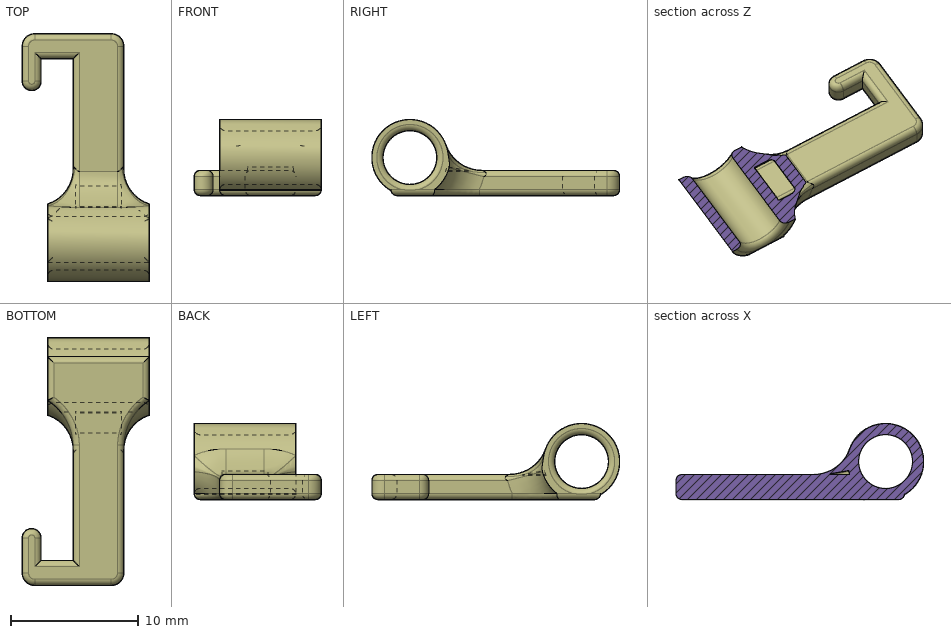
import cadquery as cq
import math

sleeve_length = 8.0
sleeve_radius = 3.0
bore_diameter = 4.2
bore_mouth_radius = 0.5
foot_width = 3.0

arm_width = 4.0
arm_thickness = 2.0
arm_end_y = 16.48
edge_radius = 0.5
outer_corner_radius = 1.0
flare_radius = 3.0

hook_reach = 4.0
hook_width = 1.5
hook_bar_width = 1.98
hook_tip_y = 12.0

root_depth_sleeve = 0.3
root_depth_arm = 0.2
side_angle = 0.0
top_angle = math.pi / 2
corner_steps = 4
foot_steps = 4
ring_sweep = 50.0

half_length = sleeve_length / 2
half_width = arm_width / 2
hook_outer_x = -half_width - hook_reach
hook_inner_x = hook_outer_x + hook_width
hook_tip_radius = hook_width / 2
hook_tip_centre_y = hook_tip_y + hook_tip_radius
hook_bar_y = arm_end_y - hook_bar_width
corner_y = arm_end_y - outer_corner_radius
base_height = edge_radius
edge_centre_x = half_width - edge_radius
edge_centre_z = arm_thickness - edge_radius
ball_reach = edge_radius + flare_radius
ball_orbit = sleeve_radius + flare_radius
joint_root_offset = edge_radius - root_depth_arm
root_axis_distance = sleeve_radius - root_depth_sleeve
root_angle = math.asin((sleeve_radius - edge_centre_z) / ball_orbit)
joint_root_y = root_axis_distance * math.cos(root_angle)
joint_root_z = sleeve_radius - root_axis_distance * math.sin(root_angle)


def make_sleeve():
    """Solid cylinder along X."""
    return (
        cq.Workplane("YZ", origin=(-half_length, 0, sleeve_radius))
        .circle(sleeve_radius)
        .extrude(sleeve_length)
    )


def hooked_plate(bottom_z, height):
    """Arm and hook in plan, extruded upwards, with square edges."""
    return (
        cq.Workplane("XY", origin=(0, 0, bottom_z))
        .moveTo(-half_width, 0)
        .lineTo(-half_width, hook_bar_y)
        .lineTo(hook_inner_x, hook_bar_y)
        .lineTo(hook_inner_x, hook_tip_centre_y)
        .radiusArc((hook_inner_x - hook_tip_radius, hook_tip_y), hook_tip_radius)
        .radiusArc((hook_outer_x, hook_tip_centre_y), hook_tip_radius)
        .lineTo(hook_outer_x, corner_y)
        .radiusArc((hook_outer_x + outer_corner_radius, arm_end_y), outer_corner_radius)
        .lineTo(half_width - outer_corner_radius, arm_end_y)
        .radiusArc((half_width, corner_y), outer_corner_radius)
        .lineTo(half_width, 0)
        .close()
        .extrude(height)
    )


def make_arm():
    """Hooked arm above the base height, with its top edges rounded."""
    plate = hooked_plate(base_height, arm_thickness - base_height)
    return plate.faces(">Z").edges("not <Y").fillet(edge_radius)


def flare_section(corner_angle):
    """Cross-section of the flare where its rolling ball touches the arm at corner_angle.

    Angle 0 is the +X side of the arm and 90 degrees is its top. The ball of
    flare_radius touches both the sleeve and the rounded top edge of the arm.
    The wire follows the ball from the arm to the sleeve, or to the end plane
    of the sleeve if that comes first, and closes inside the arm and sleeve.
    The joint root keeps its height so that neighbouring sections never cross.
    """
    across = math.cos(corner_angle)
    upward = math.sin(corner_angle)
    ball_x = edge_centre_x + ball_reach * across
    ball_z = edge_centre_z + ball_reach * upward
    ball_y = math.sqrt(ball_orbit**2 - (ball_z - sleeve_radius) ** 2)
    ball = cq.Vector(ball_x, ball_y, ball_z)
    to_arm = cq.Vector(-across, 0, -upward)
    to_sleeve = cq.Vector(0, -ball_y, sleeve_radius - ball_z).normalized()

    step = 0.0
    if ball_x > half_length:
        step = (ball_x - half_length) / across
    slant = step * to_arm.dot(to_sleeve)
    drop = math.sqrt(flare_radius**2 - step**2 + slant**2) - slant

    arc_start = ball + to_arm * flare_radius
    to_arc_end = to_arm * step + to_sleeve * drop
    arc_end = ball + to_arc_end
    arc_middle = ball + (to_arm + to_arc_end.normalized()).normalized() * flare_radius
    sleeve_root = ball + to_arm * step + to_sleeve * (flare_radius + root_depth_sleeve)
    arm_root = ball + to_arm * (flare_radius + root_depth_arm)
    joint_root = cq.Vector(edge_centre_x + joint_root_offset * across, joint_root_y, joint_root_z)
    return cq.Wire.assembleEdges([
        cq.Edge.makeThreePointArc(arc_start, arc_middle, arc_end),
        cq.Edge.makeLine(arc_end, sleeve_root),
        cq.Edge.makeLine(sleeve_root, joint_root),
        cq.Edge.makeLine(joint_root, arm_root),
        cq.Edge.makeLine(arm_root, arc_start),
    ])


def flare_skin(first_angle, last_angle):
    """Faces swept by the flare section between two corner angles, open at both ends."""
    angle_step = (last_angle - first_angle) / corner_steps
    sections = [flare_section(first_angle + i * angle_step) for i in range(corner_steps + 1)]
    return cq.occ_impl.shapes.loft(*sections, cap=False).Faces()


def flare_corner():
    """Part of the flare over the rounded top edge of the arm, on the +X side.

    The skin changes where the ball passes the end plane of the sleeve.
    """
    sleeve_end_angle = math.acos((half_length - edge_centre_x) / ball_reach)
    faces = [
        cq.Face.makeFromWires(flare_section(side_angle)),
        *flare_skin(side_angle, sleeve_end_angle),
        *flare_skin(sleeve_end_angle, top_angle),
        cq.Face.makeFromWires(flare_section(top_angle)),
    ]
    return cq.Workplane(cq.occ_impl.shapes.solid(*faces))


def add_flare(body):
    """Blend the arm into the sleeve on both sides and across the top."""
    axis_start = cq.Vector(0, 0, sleeve_radius)
    axis_end = cq.Vector(-1, 0, sleeve_radius)
    side = cq.Workplane(
        cq.Solid.revolve(flare_section(side_angle), [], ring_sweep, axis_start, axis_end)
    )
    for piece in (flare_corner(), side):
        body = body.union(piece).union(piece.mirror("YZ"))

    across_top = cq.Vector(-2 * edge_centre_x, 0, 0)
    top = cq.Solid.extrudeLinear(flare_section(top_angle), [], across_top)
    return body.union(cq.Workplane(top))


def flare_foot_point(angle):
    """Point of the side flare at the base height; angle 0 is where it leaves the arm."""
    x = half_width + flare_radius * (1 - math.cos(angle))
    axis_distance = ball_orbit - flare_radius * math.sin(angle)
    y = math.sqrt(axis_distance**2 - (sleeve_radius - base_height) ** 2)
    return (x, y)


def add_base(body):
    """Continue the outline at the base height down to Z = 0, rounding its bottom edge.

    Behind the foot the sleeve keeps its round underside.
    """
    end_angle = math.acos(1 - (half_length - half_width) / flare_radius)
    right_flare = [flare_foot_point(end_angle * i / foot_steps) for i in range(foot_steps, -1, -1)]
    left_flare = [(-x, y) for x, y in reversed(right_flare)]
    foot_back_y = -foot_width / 2

    foot = (
        cq.Workplane("XY")
        .moveTo(half_length, foot_back_y)
        .lineTo(*right_flare[0])
        .spline(right_flare[1:], includeCurrent=True)
        .lineTo(*left_flare[0])
        .spline(left_flare[1:], includeCurrent=True)
        .lineTo(-half_length, foot_back_y)
        .close()
        .extrude(2 * base_height)
    )
    base = foot.union(hooked_plate(0, 2 * base_height))
    base = base.faces("<Z").edges().fillet(edge_radius)

    clear_size = 4 * arm_end_y
    below = (
        cq.Workplane("XY")
        .box(clear_size, clear_size, clear_size, centered=(True, False, False))
        .translate((0, foot_back_y, base_height - clear_size))
    )
    return body.cut(below).union(base)


def cut_bore(body):
    """Through bore whose two mouths flare out in a convex rounding."""
    bore_radius = bore_diameter / 2
    mouth_radius = bore_radius + bore_mouth_radius
    straight_half = half_length - bore_mouth_radius
    bore = (
        cq.Workplane("XY", origin=(0, 0, sleeve_radius))
        .moveTo(-half_length, 0)
        .lineTo(-half_length, mouth_radius)
        .radiusArc((-straight_half, bore_radius), -bore_mouth_radius)
        .lineTo(straight_half, bore_radius)
        .radiusArc((half_length, mouth_radius), -bore_mouth_radius)
        .lineTo(half_length, 0)
        .close()
        .revolve(360, (0, 0, 0), (1, 0, 0))
    )
    return body.cut(bore)


solid_body = add_flare(make_arm().union(make_sleeve()))
result = cut_bore(add_base(solid_body)).solids()